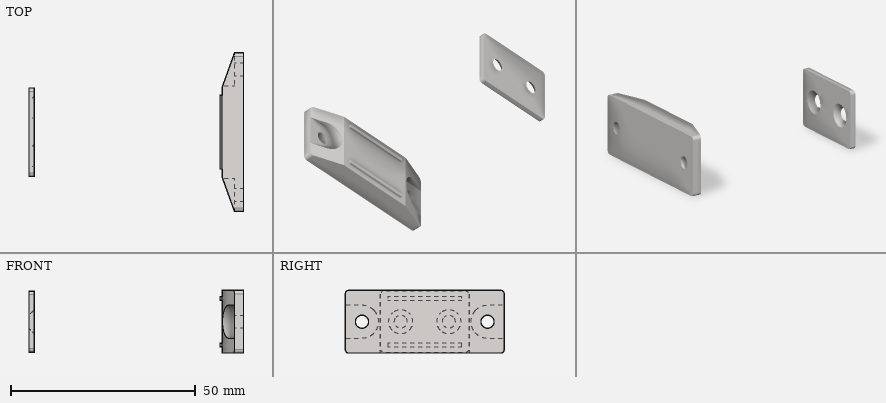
import cadquery as cq

overall_length = 58.1
back_x = overall_length / 2
plate_front_x = -overall_length / 2
corner_radius = 1.0

housing_width = 43.0
housing_height = 17.0
housing_depth = 5.85
end_depth = 2.5
flat_width = 24.15
housing_front_x = back_x - housing_depth
pocket_floor_x = back_x - end_depth

hole_diameter = 3.5
hole_inset = 4.55
pocket_radius = 4.5
mount_y = housing_width / 2 - hole_inset

strip_length = 20.0
strip_height = 1.0
strip_depth = 0.6
strip_offset_z = 6.3

plate_thickness = 1.5
plate_width = 24.0
plate_height = 16.55
plate_hole_offset_y = 6.5
countersink_diameter = hole_diameter + 2 * plate_thickness


def make_housing():
    """Plate with tapered ends and a mounting pocket with a through hole at each end."""
    half_width = housing_width / 2
    half_flat = flat_width / 2
    body = (
        cq.Workplane("XY", origin=(0, 0, -housing_height / 2))
        .moveTo(back_x, -half_width)
        .lineTo(back_x, half_width)
        .lineTo(pocket_floor_x, half_width)
        .lineTo(housing_front_x, half_flat)
        .lineTo(housing_front_x, -half_flat)
        .lineTo(pocket_floor_x, -half_width)
        .close()
        .extrude(housing_height)
    )

    rounded_block = (
        cq.Workplane("YZ", origin=(housing_front_x, 0, 0))
        .rect(housing_width, housing_height)
        .extrude(housing_depth)
        .edges("|X")
        .fillet(corner_radius)
    )
    body = body.intersect(rounded_block)

    for side in (-1, 1):
        body = body.cut(make_pocket(side))

    holes = (
        cq.Workplane("YZ", origin=(housing_front_x, 0, 0))
        .pushPoints([(-mount_y, 0), (mount_y, 0)])
        .circle(hole_diameter / 2)
        .extrude(housing_depth)
    )
    return body.cut(holes)


def make_pocket(side):
    """U-shaped cutter, open towards the housing end on the given side of Y."""
    pocket_depth = pocket_floor_x - housing_front_x
    return (
        cq.Workplane("YZ", origin=(housing_front_x, 0, 0))
        .moveTo(side * housing_width / 2, pocket_radius)
        .lineTo(side * mount_y, pocket_radius)
        .threePointArc((side * (mount_y - pocket_radius), 0), (side * mount_y, -pocket_radius))
        .lineTo(side * housing_width / 2, -pocket_radius)
        .close()
        .extrude(pocket_depth)
    )


def make_strip(center_z):
    """Thin rectangular strip standing on the flat housing face."""
    return (
        cq.Workplane("YZ", origin=(housing_front_x - strip_depth, 0, center_z))
        .rect(strip_length, strip_height)
        .extrude(strip_depth)
    )


def make_plate():
    """Flat plate with rounded corners and two through holes."""
    plate = (
        cq.Workplane("YZ", origin=(plate_front_x, 0, 0))
        .rect(plate_width, plate_height)
        .extrude(plate_thickness)
        .edges("|X")
        .fillet(corner_radius)
    )
    holes = (
        cq.Workplane("YZ", origin=(plate_front_x, 0, 0))
        .pushPoints([(-plate_hole_offset_y, 0), (plate_hole_offset_y, 0)])
        .circle(hole_diameter / 2)
        .extrude(plate_thickness)
    )
    plate = plate.cut(holes)
    for side in (-1, 1):
        plate = plate.cut(make_countersink(side * plate_hole_offset_y))
    return plate


def make_countersink(center_y):
    """Cone widening through the plate from the hole diameter at the front to the back face."""
    return cq.Workplane(
        cq.Solid.makeCone(
            hole_diameter / 2,
            countersink_diameter / 2,
            plate_thickness,
            pnt=cq.Vector(plate_front_x, center_y, 0),
            dir=cq.Vector(1, 0, 0),
        )
    )


housing = make_housing()
plate = make_plate()
strips = [make_strip(center_z) for center_z in (-strip_offset_z, strip_offset_z)]

result = cq.Compound.makeCompound([housing.val(), plate.val(), *[strip.val() for strip in strips]])